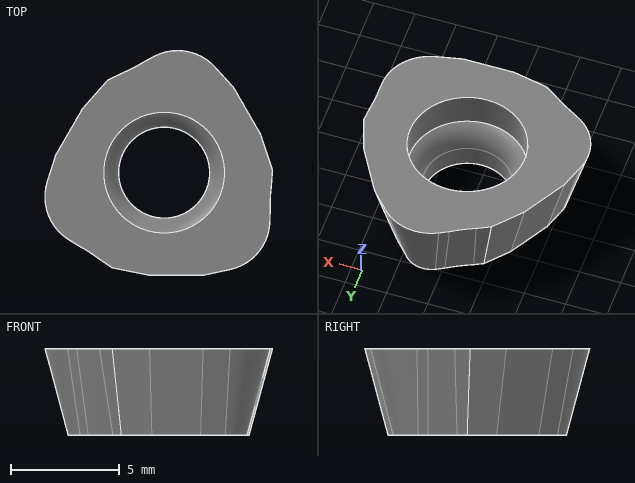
import cadquery as cq
import math

thickness = 3.97
relief_angle = 15.0
lobe_count = 3

bore_radius = 2.77
bore_depth = 1.74
hole_radius = 2.08
seat_arc_radius = 1.29

corner_start = (-5.37, -0.4)
corner_middle = (-5.35, -1.88)
corner_end = (-4.44, -3.04)
dent_start = (-4.02, -3.31)
dent_middle = (-3.51, -3.6)
dent_end = (-2.97, -3.97)
lead_flat_start = (-2.38, -4.37)
main_flat_start = (-0.67, -4.72)
main_flat_end = (1.79, -4.72)


def turned(point, lobe):
    """Rotate a point of the first lobe to the same place on another lobe."""
    angle = math.radians(lobe * 360.0 / lobe_count)
    x, y = point
    return (
        x * math.cos(angle) - y * math.sin(angle),
        x * math.sin(angle) + y * math.cos(angle),
    )


def add_lobe(outline, lobe):
    """Continue the outline from a corner start to the next corner start."""
    outline = outline.threePointArc(turned(corner_middle, lobe), turned(corner_end, lobe))
    outline = outline.lineTo(*turned(dent_start, lobe))
    outline = outline.threePointArc(turned(dent_middle, lobe), turned(dent_end, lobe))
    for point in (lead_flat_start, main_flat_start, main_flat_end):
        outline = outline.lineTo(*turned(point, lobe))
    if lobe == lobe_count - 1:
        return outline.close()
    return outline.lineTo(*turned(corner_start, lobe + 1))


def make_body():
    """The top outline extruded downward, with all flanks leaning inward."""
    outline = cq.Workplane("XY").workplane(offset=thickness).moveTo(*corner_start)
    for lobe in range(lobe_count):
        outline = add_lobe(outline, lobe)
    return outline.extrude(-thickness, taper=relief_angle)


def make_hole():
    """Wide bore, convex screw seat that ends tangent to the narrow hole, and the hole itself."""
    seat_center_radius = hole_radius + seat_arc_radius
    seat_angle = math.acos((seat_center_radius - bore_radius) / seat_arc_radius)
    seat_top = thickness - bore_depth
    seat_bottom = seat_top - seat_arc_radius * math.sin(seat_angle)
    seat_middle = (
        seat_center_radius - seat_arc_radius * math.cos(seat_angle / 2),
        seat_bottom + seat_arc_radius * math.sin(seat_angle / 2),
    )
    return (
        cq.Workplane("XZ")
        .lineTo(hole_radius, 0)
        .lineTo(hole_radius, seat_bottom)
        .threePointArc(seat_middle, (bore_radius, seat_top))
        .lineTo(bore_radius, thickness)
        .lineTo(0, thickness)
        .close()
        .revolve(360, (0, 0, 0), (0, 1, 0))
    )


result = make_body().cut(make_hole())